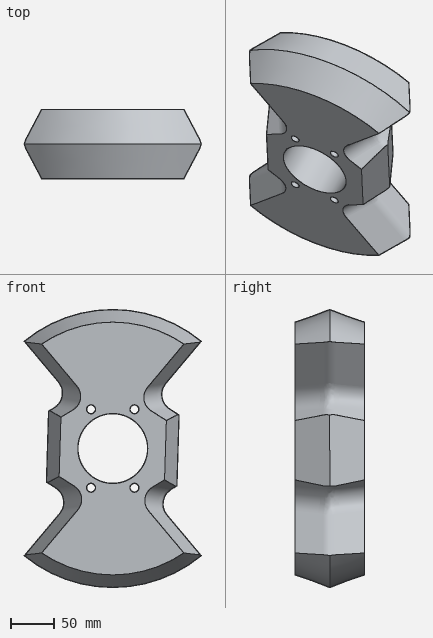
import cadquery as cq
import math

tip_radius = 160.0
thickness = 80.0
side_draft = 20.0
flank_angle = 50.0
half_thickness = thickness / 2

hub_apex = (0, 89.0)
hub_upper_left = (-74.0, 44.5)
hub_lower_left = (-76.5, -40.0)

notch_fillet = 20.0
ridge_fillet = 20.0

notch_inner = 35.2
notch_outer = 51.2
notch_bottom = 49.5
notch_top = 65.5

ridge_slack = 0.03
axis_slack = 3.2

bore_diameter = 80.0
bolt_diameter = 10.0
bolt_spacing_x = 50.0
bolt_spacing_z = 90.2


def half_turn(point):
    return (-point[0], -point[1])


def drafted_both_ways(outline):
    """Solid with the XZ outline at its ridge, tapering to the flat faces."""
    front = outline.extrude(half_thickness, taper=side_draft)
    return front.union(front.mirror("XZ"))


def blade():
    """Upper blade: a sector of a disc around the rotor axis."""
    tip_x = tip_radius * math.cos(math.radians(flank_angle))
    tip_z = tip_radius * math.sin(math.radians(flank_angle))
    return drafted_both_ways(
        cq.Workplane("XZ")
        .lineTo(tip_x, tip_z)
        .threePointArc((0, tip_radius), (-tip_x, tip_z))
        .close()
    )


def hub():
    left_corners = [hub_apex, hub_upper_left, hub_lower_left]
    right_corners = [half_turn(corner) for corner in left_corners]
    return drafted_both_ways(cq.Workplane("XZ").polyline(left_corners + right_corners).close())


def is_flank_ridge(edge):
    """Mid-plane ridge edges along the blade flanks and the hub shoulders."""
    center = edge.Center()
    on_ridge = edge.BoundingBox().ylen < ridge_slack and abs(center.y) < ridge_slack
    on_tip = abs(center.x) < axis_slack
    on_hub_side = abs(center.z) < axis_slack
    return on_ridge and not on_tip and not on_hub_side


def is_notch_corner(edge):
    """Concave edges between hub and blade, from one flat face across the ridge to the other."""
    center = edge.Center()
    in_notch_height = notch_bottom < abs(center.z) < notch_top
    in_notch_width = notch_inner < abs(center.x) < notch_outer
    return in_notch_height and in_notch_width


upper_blade = blade()
lower_blade = upper_blade.rotate((0, 0, 0), (0, 1, 0), 180)
body = upper_blade.union(lower_blade).union(hub())
ridge_edges = [edge for edge in body.edges().vals() if is_flank_ridge(edge)]
body = body.newObject(ridge_edges).fillet(ridge_fillet)
notch_edges = [edge for edge in body.edges().vals() if is_notch_corner(edge)]
body = body.newObject(notch_edges).fillet(notch_fillet)

bore = cq.Workplane("XZ").circle(bore_diameter / 2).extrude(half_thickness, both=True)
bolt_holes = (
    cq.Workplane("XZ")
    .rect(bolt_spacing_x, bolt_spacing_z, forConstruction=True)
    .vertices()
    .circle(bolt_diameter / 2)
    .extrude(half_thickness, both=True)
)
result = body.cut(bore).cut(bolt_holes)